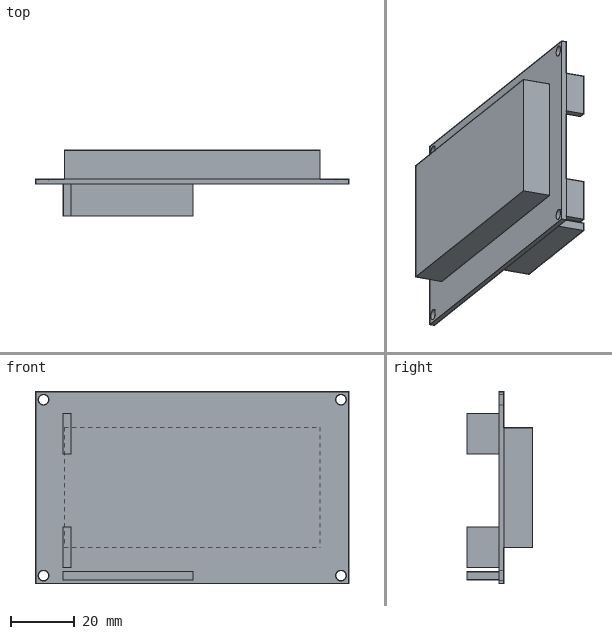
import cadquery as cq

BOARD_LENGTH = 98.0
BOARD_HEIGHT = 60.0
BOARD_THICKNESS = 1.6

HOLE_DIAMETER = 3.2
HOLE_EDGE_DISTANCE = 2.5

DISPLAY_LENGTH = 80.0
DISPLAY_HEIGHT = 37.5
DISPLAY_DEPTH = 9.0

PIN_PITCH = 2.54
HEADER_DEPTH = 10.0
HEADER_LEFT = 8.6
LONG_HEADER_PINS = 16
LONG_HEADER_BOTTOM = 1.2
SHORT_HEADER_PINS = 5
SHORT_HEADER_BOTTOMS = (5.0, 40.5)


def block(x, y, z, length, depth, height):
    """Box with its lowest corner at (x, y, z)."""
    return cq.Workplane("XY").box(length, depth, height, centered=False).translate((x, y, z))


def board():
    """Board with its lower left front corner at the origin."""
    plate = block(0, 0, 0, BOARD_LENGTH, BOARD_THICKNESS, BOARD_HEIGHT)
    hole_spacing_x = BOARD_LENGTH - 2 * HOLE_EDGE_DISTANCE
    hole_spacing_z = BOARD_HEIGHT - 2 * HOLE_EDGE_DISTANCE
    return (
        plate.faces("<Y")
        .workplane(centerOption="CenterOfBoundBox")
        .rarray(hole_spacing_x, hole_spacing_z, 2, 2)
        .hole(HOLE_DIAMETER)
    )


def display():
    """Display block behind the board."""
    left = (BOARD_LENGTH - DISPLAY_LENGTH) / 2
    bottom = (BOARD_HEIGHT - DISPLAY_HEIGHT) / 2
    return block(left, BOARD_THICKNESS, bottom, DISPLAY_LENGTH, DISPLAY_DEPTH, DISPLAY_HEIGHT)


def header(bottom, columns, rows):
    """Header body in front of the board, sized by its pin columns (X) and rows (Z)."""
    return block(HEADER_LEFT, -HEADER_DEPTH, bottom, columns * PIN_PITCH, HEADER_DEPTH, rows * PIN_PITCH)


result = board().union(display())
result = result.union(header(LONG_HEADER_BOTTOM, LONG_HEADER_PINS, 1))
for short_header_bottom in SHORT_HEADER_BOTTOMS:
    result = result.union(header(short_header_bottom, 1, SHORT_HEADER_PINS))